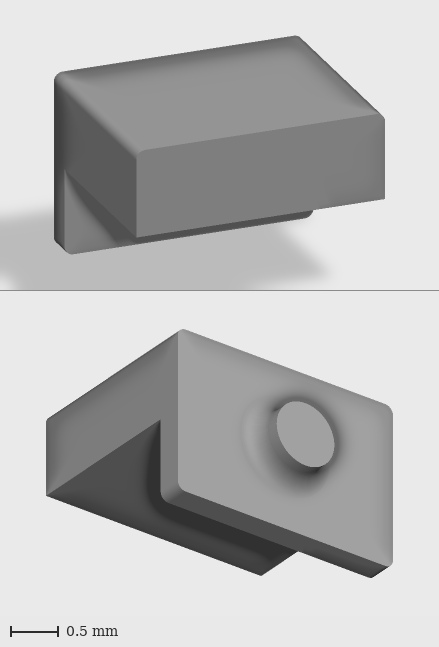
import cadquery as cq

length = 2.65
width = 2.8
height = 1.95

pin_length = 0.35
body_length = length - pin_length
plate_thickness = 0.3
block_height = height / 2
corner_radius = 0.1

pin_diameter = 0.75
pin_radius = pin_diameter / 2
root_fillet = 0.2


def make_body():
    """L-shaped body with all four corners of the front plate rounded."""
    body = (
        cq.Workplane("XY")
        .box(body_length, width, height, centered=(False, True, True))
        .edges("|X")
        .fillet(corner_radius)
    )
    relief = (
        cq.Workplane("XY")
        .box(body_length - plate_thickness, width, height - block_height, centered=(False, True, False))
        .translate((plate_thickness, 0, -height / 2))
    )
    return body.cut(relief)


def make_pin():
    """Round pin along -X, flaring into the plate through a concave fillet."""
    arc_middle = root_fillet * (1 - 0.5 ** 0.5)
    profile = (
        cq.Workplane("XY")
        .moveTo(plate_thickness, 0)
        .lineTo(-pin_length, 0)
        .lineTo(-pin_length, pin_radius)
        .lineTo(-root_fillet, pin_radius)
        .threePointArc(
            (-arc_middle, pin_radius + arc_middle),
            (0, pin_radius + root_fillet),
        )
        .lineTo(plate_thickness, pin_radius + root_fillet)
        .close()
    )
    return profile.revolve(360, (0, 0, 0), (1, 0, 0))


result = make_body().union(make_pin())